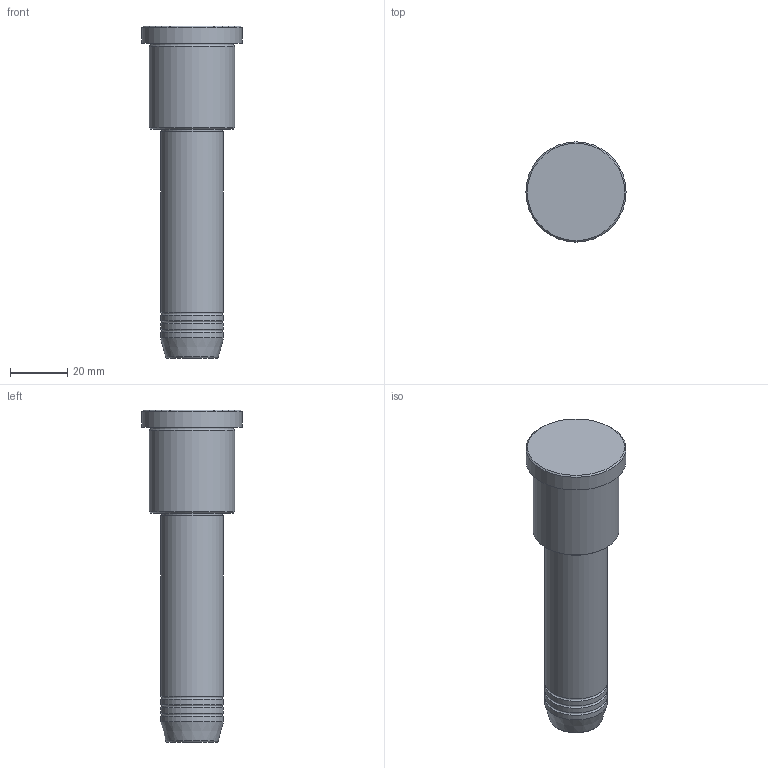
import cadquery as cq
import math

total_length = 116.0

head_diameter = 35.0
head_height = 6.0
head_chamfer = 0.5

shank_diameter = 30.0
shank_length = 30.0
shank_chamfer = 0.5

pin_diameter = 22.0
neck_depth = 0.5
neck_height = 1.0

taper_height = 7.0
taper_angle = 15.0
tip_fillet = 0.5

groove_radius = 0.5
first_groove_height = 9.5
groove_pitch = 3.0
groove_count = 3

head_radius = head_diameter / 2
shank_radius = shank_diameter / 2
pin_radius = pin_diameter / 2
neck_radius = pin_radius - neck_depth
tip_radius = pin_radius - taper_height * math.tan(math.radians(taper_angle))
head_bottom = total_length - head_height
shank_bottom = head_bottom - shank_length
neck_bottom = shank_bottom - neck_height


def revolve_profile(profile):
    """Revolve a closed profile, drawn as (radius, height), fully around the Z axis."""
    return profile.close().revolve(360, (0, 0), (0, 1))


def cylinder(radius, bottom, top):
    """Upright cylinder on the Z axis."""
    return cq.Workplane("XY").workplane(offset=bottom).circle(radius).extrude(top - bottom)


def make_head():
    """Flat head with a chamfered top rim."""
    return cylinder(head_radius, head_bottom, total_length).faces(">Z").chamfer(head_chamfer)


def make_shank():
    """Thick shank with a chamfered lower rim."""
    return cylinder(shank_radius, shank_bottom, head_bottom).faces("<Z").chamfer(shank_chamfer)


def make_pin():
    """Pin with a tapered, rounded tip and a relieved neck under the shank."""
    outline = [
        (0, 0),
        (tip_radius, 0),
        (pin_radius, taper_height),
        (pin_radius, neck_bottom),
        (neck_radius, neck_bottom),
        (neck_radius, shank_bottom),
        (0, shank_bottom),
    ]
    pin = revolve_profile(cq.Workplane("XZ").polyline(outline))
    return pin.faces("<Z").edges().fillet(tip_fillet)


def make_groove(radius, height):
    """Half-round ring cutter for a cylinder of the given radius, centred at the given height."""
    lower_edge = (radius, height - groove_radius)
    floor = (radius - groove_radius, height)
    upper_edge = (radius, height + groove_radius)
    return revolve_profile(cq.Workplane("XZ").moveTo(*lower_edge).threePointArc(floor, upper_edge))


result = make_head().union(make_shank()).union(make_pin())
result = result.cut(make_groove(shank_radius, head_bottom - groove_radius))
for index in range(groove_count):
    result = result.cut(make_groove(pin_radius, first_groove_height + index * groove_pitch))